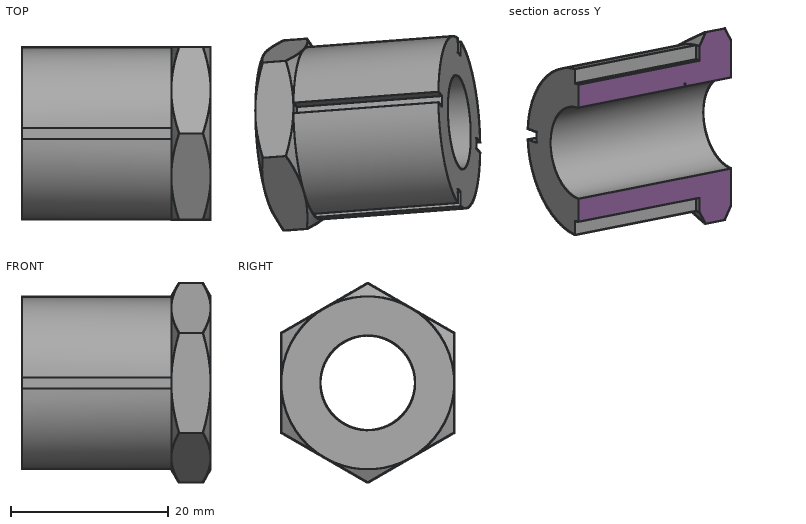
import cadquery as cq
import math

barrel_length = 19.0
head_thickness = 5.0
outer_diameter = 22.0
bore_diameter = 12.0
slot_width = 1.4
slot_depth = 1.9
slot_count = 4
chamfer_angle = 30.0
hexagon_sides = 6

total_length = barrel_length + head_thickness
outer_radius = outer_diameter / 2
corner_radius = outer_radius / math.cos(math.pi / hexagon_sides)
chamfer_length = (corner_radius - outer_radius) * math.tan(math.radians(chamfer_angle))


def make_barrel():
    return cq.Workplane("YZ").circle(outer_radius).extrude(barrel_length)


def make_head():
    """Hexagonal head with corners on +Z and -Z, chamfered conically at both ends."""
    hexagon = (
        cq.Workplane("YZ", origin=(barrel_length, 0, 0))
        .polygon(hexagon_sides, 2 * corner_radius)
        .extrude(head_thickness)
        .rotate((0, 0, 0), (1, 0, 0), 90)
    )
    envelope = (
        cq.Workplane("XY")
        .moveTo(barrel_length, 0)
        .lineTo(barrel_length, outer_radius)
        .lineTo(barrel_length + chamfer_length, corner_radius)
        .lineTo(total_length - chamfer_length, corner_radius)
        .lineTo(total_length, outer_radius)
        .lineTo(total_length, 0)
        .close()
        .revolve(360, (0, 0, 0), (1, 0, 0))
    )
    return hexagon.intersect(envelope)


def make_slot(angle):
    """Cutter for one lengthwise slot, open at the barrel end and closed by the head."""
    cutter_height = 2 * slot_depth
    return (
        cq.Workplane("XY", origin=(0, 0, outer_radius - slot_depth))
        .box(barrel_length, slot_width, cutter_height, centered=(False, True, False))
        .rotate((0, 0, 0), (1, 0, 0), angle)
    )


barrel = make_barrel()
for index in range(slot_count):
    barrel = barrel.cut(make_slot(index * 360 / slot_count))

bore = cq.Workplane("YZ").circle(bore_diameter / 2).extrude(total_length)

result = barrel.union(make_head()).cut(bore)